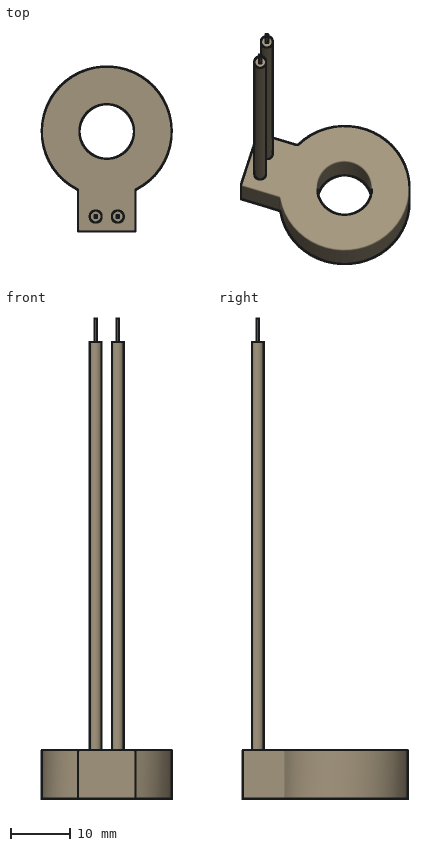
import cadquery as cq
import math

total_height = 81.1
total_depth = 27.9
body_height = 8.3
edge_round = 0.25
corner_fillet = 0.3

ring_diameter = 22.0
bore_diameter = 9.2

block_width = 9.7
block_end = total_depth - ring_diameter / 2

wire_spacing = 3.7
wire_distance = 14.35
wire_diameter = 2.0
conductor_diameter = 0.5
bare_length = 4.0


def make_body():
    """Ring and block in one piece, with the corners between them filled and the top edges rounded."""
    ring = cq.Workplane("XY").circle(ring_diameter / 2).extrude(body_height)
    block = (
        cq.Workplane("XY")
        .rect(block_width, block_end)
        .extrude(body_height)
        .translate((0, -block_end / 2, 0))
        .edges("|Z and <Y")
        .fillet(edge_round)
    )
    bore = cq.Workplane("XY").circle(bore_diameter / 2).extrude(body_height)

    corner_x = block_width / 2
    corner_y = -math.sqrt((ring_diameter / 2) ** 2 - corner_x**2)
    body = ring.union(block)
    for x in (-corner_x, corner_x):
        corner = cq.selectors.NearestToPointSelector((x, corner_y, body_height / 2))
        body = body.edges(corner).fillet(corner_fillet)
    return body.cut(bore).faces(">Z").edges().fillet(edge_round)


def make_wire(x):
    """Insulated lead with a bare conductor end, rooted on the block's top face."""
    base = cq.Workplane("XY", origin=(x, -wire_distance, body_height))
    wire_length = total_height - body_height
    insulation = base.circle(wire_diameter / 2).extrude(wire_length - bare_length)
    conductor = base.circle(conductor_diameter / 2).extrude(wire_length)
    return insulation.union(conductor)


result = make_body()
for side in (-1, 1):
    result = result.union(make_wire(side * wire_spacing / 2))